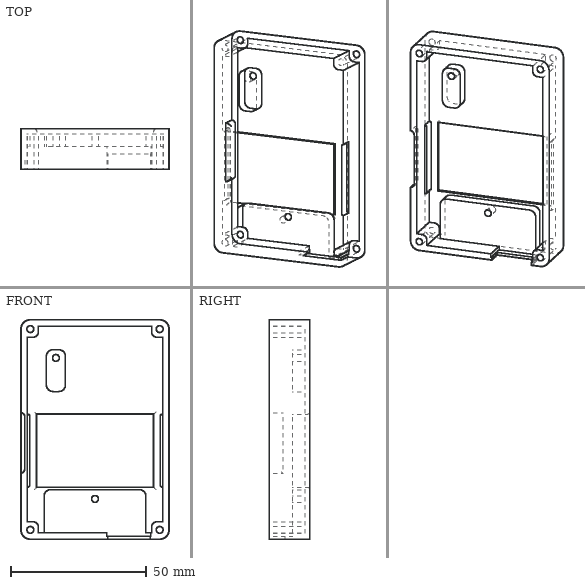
import cadquery as cq

WIDTH, DEPTH, HEIGHT = 54.8, 15.0, 81.2
WALL = 2.4
FLOOR = 1.95
CORNER_RADIUS = 3.5

POST_SIZE = 6.5
POST_RADIUS = 2.0
HOLE_DIAMETER = 2.5

WINDOW_WIDTH, WINDOW_HEIGHT = 43.2, 27.0
WINDOW_Z = -7.8
WINDOW_EDGE_RADIUS = 1.0
RIB_THICKNESS = 0.8
RIB_RADIUS = 0.7

PAD_FRONT = 8.5
PAD_RADIUS = 2.4
SMALL_PAD_WIDTH, SMALL_PAD_HEIGHT = 7.1, 15.4
SMALL_PAD_X, SMALL_PAD_Z = -14.45, 21.8
SMALL_PAD_HOLE_Z = 26.5
LARGE_PAD_WIDTH = 37.7
LARGE_PAD_TOP = -22.25
LARGE_PAD_HOLE_Z = -25.65

GRIP_HEIGHT = 22.5
GRIP_Z = -4.95
GRIP_LENGTH = 5.0
GRIP_DEPTH = 1.5
GRIP_RADIUS = 1.7

NOTCH_X = 12.5
NOTCH_INNER_WIDTH = 16.2
NOTCH_OUTER_WIDTH = 15.7
NOTCH_LIP = 1.05
NOTCH_LIP_FRONT = 5.7

RIM_Y = -DEPTH / 2
FLOOR_Y = DEPTH / 2 - FLOOR
INNER_X = WIDTH / 2 - WALL
BOTTOM_Z = -HEIGHT / 2
INNER_BOTTOM_Z = BOTTOM_Z + WALL


def block(x_range, y_range, z_range):
    """Box spanning the given (low, high) ranges."""
    ranges = (x_range, y_range, z_range)
    size = [high - low for low, high in ranges]
    centre = tuple((high + low) / 2 for low, high in ranges)
    return cq.Workplane("XY").box(*size).translate(centre)


def around(centre, size):
    """Range of the given size about a centre."""
    return centre - size / 2, centre + size / 2


def screw_hole(x, z, start_y):
    """Blind hole from start_y down to the floor level."""
    length = FLOOR_Y - start_y
    cylinder = cq.Solid.makeCylinder(
        HOLE_DIAMETER / 2, length, cq.Vector(x, start_y, z), cq.Vector(0, 1, 0)
    )
    return cq.Workplane(cylinder)


def open_box():
    outside = cq.Workplane("XY").box(WIDTH, DEPTH, HEIGHT).edges("|Y").fillet(CORNER_RADIUS)
    cavity = block((-INNER_X, INNER_X), (RIM_Y, FLOOR_Y), around(0, HEIGHT - 2 * WALL))
    return outside.cut(cavity)


def corner_posts():
    outside = cq.Workplane("XY").box(WIDTH, DEPTH, HEIGHT).edges("|Y").fillet(CORNER_RADIUS)
    posts = cq.Workplane("XY")
    for side in (-1, 1):
        for end in (-1, 1):
            x = side * (WIDTH - POST_SIZE) / 2
            z = end * (HEIGHT - POST_SIZE) / 2
            inner_edge = ("<X" if side > 0 else ">X", "<Z" if end > 0 else ">Z")
            post = block(around(x, POST_SIZE), around(0, DEPTH), around(z, POST_SIZE))
            post = post.faces(inner_edge[0]).edges(inner_edge[1]).fillet(POST_RADIUS)
            posts = posts.add(post)
    return posts.combine().intersect(outside)


def side_ribs():
    ribs = cq.Workplane("XY")
    z_range = around(WINDOW_Z, WINDOW_HEIGHT)
    for side, inner_face in ((-1, ">X"), (1, "<X")):
        x_range = around(side * (INNER_X - RIB_THICKNESS / 2), RIB_THICKNESS)
        rib = block(x_range, (RIM_Y + PAD_FRONT, FLOOR_Y), z_range)
        ribs = ribs.add(rib.faces(inner_face).edges("|Y").fillet(RIB_RADIUS))
    return ribs.combine()


def mounting_pads():
    y_range = (RIM_Y + PAD_FRONT, FLOOR_Y)
    small = block(
        around(SMALL_PAD_X, SMALL_PAD_WIDTH), y_range, around(SMALL_PAD_Z, SMALL_PAD_HEIGHT)
    ).edges("|Y").fillet(PAD_RADIUS)
    large = block(around(0, LARGE_PAD_WIDTH), y_range, (INNER_BOTTOM_Z, LARGE_PAD_TOP))
    large = large.faces(">Z").edges("|Y").fillet(PAD_RADIUS)
    return small.add(large).combine()


def grip_recess():
    x_range = (-WIDTH / 2 - GRIP_RADIUS, -WIDTH / 2 + GRIP_DEPTH)
    recess = block(x_range, (RIM_Y, RIM_Y + GRIP_LENGTH), around(GRIP_Z, GRIP_HEIGHT))
    return recess.faces(">X").edges(">Y or >Z or <Z").fillet(GRIP_RADIUS)


def bottom_notch():
    lip_top = BOTTOM_Z + NOTCH_LIP
    inner = block(
        around(NOTCH_X, NOTCH_INNER_WIDTH), (RIM_Y, RIM_Y + PAD_FRONT), (lip_top, INNER_BOTTOM_Z)
    )
    outer = block(
        around(NOTCH_X, NOTCH_OUTER_WIDTH), (RIM_Y, RIM_Y + NOTCH_LIP_FRONT), (BOTTOM_Z, lip_top)
    )
    return inner.union(outer)


def window():
    return block(
        around(0, WINDOW_WIDTH), (FLOOR_Y, DEPTH / 2), around(WINDOW_Z, WINDOW_HEIGHT)
    )


def back_window_edges(body):
    """The four window edges on the back face."""
    margin = WALL / 2
    corner_x = WINDOW_WIDTH / 2 + margin
    corner_z = WINDOW_HEIGHT / 2 + margin
    return body.faces(">Y").edges(
        cq.selectors.BoxSelector(
            (-corner_x, DEPTH / 2 - margin, WINDOW_Z - corner_z),
            (corner_x, DEPTH / 2 + margin, WINDOW_Z + corner_z),
        )
    )


result = open_box().union(corner_posts()).union(side_ribs()).union(mounting_pads())
result = back_window_edges(result.cut(window())).fillet(WINDOW_EDGE_RADIUS)
result = result.cut(grip_recess()).cut(bottom_notch())

for post_x in (-WIDTH / 2 + CORNER_RADIUS, WIDTH / 2 - CORNER_RADIUS):
    for post_z in (-HEIGHT / 2 + CORNER_RADIUS, HEIGHT / 2 - CORNER_RADIUS):
        result = result.cut(screw_hole(post_x, post_z, RIM_Y))
result = result.cut(screw_hole(SMALL_PAD_X, SMALL_PAD_HOLE_Z, RIM_Y + PAD_FRONT))
result = result.cut(screw_hole(0, LARGE_PAD_HOLE_Z, RIM_Y + PAD_FRONT))